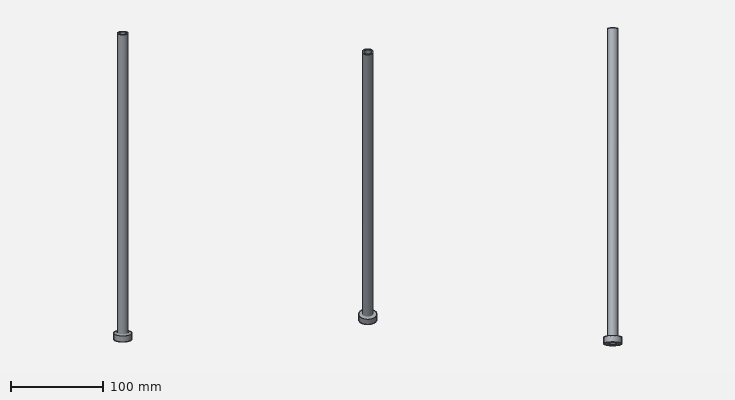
import cadquery as cq

total_length = 350.0
head_diameter = 20.0
head_height = 7.0
shaft_diameter = 12.0
bore_diameter = 8.0
neck_fillet = 0.7

head_radius = head_diameter / 2
shaft_radius = shaft_diameter / 2
bore_radius = bore_diameter / 2

half_section = (
    cq.Workplane("XZ")
    .moveTo(bore_radius, 0)
    .lineTo(head_radius, 0)
    .lineTo(head_radius, head_height)
    .lineTo(shaft_radius + neck_fillet, head_height)
    .radiusArc((shaft_radius, head_height + neck_fillet), neck_fillet)
    .lineTo(shaft_radius, total_length)
    .lineTo(bore_radius, total_length)
    .close()
)

result = half_section.revolve(360, (0, 0, 0), (0, 1, 0))